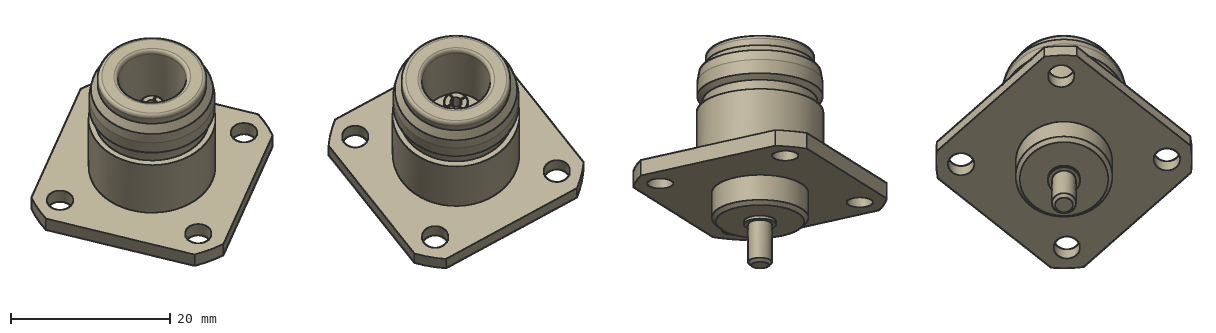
import cadquery as cq

flange_side = 25.4
flange_thickness = 2.1
flange_corner_radius = 16.05
hole_offset = 9.15
hole_radius = 1.65

collar_radius = 7.97
collar_height = 8.77
neck_radius = 7.2
neck_top = 10.3
band_radius = 7.9
band_bottom = 10.93
band_top = 12.8
taper_radius = 7.65
taper_top = 14.15
lip_radius = 6.83
lip_bottom = 15.15
barrel_height = 16.6
lip_fillet = 0.5

bore_mouth_radius = 4.3
bore_floor_radius = 4.05
bore_depth = 9.1

contact_radius = 1.55
contact_tip_depth = 5.12
contact_chamfer = 0.1
contact_hole_radius = 0.7
contact_slot_width = 0.17
contact_slot_depth = 2.85

boss_radius = 6.05
boss_depth = 3.87
boss_chamfer = 0.5
shoulder_radius = 2.02
shoulder_depth = 4.27
pin_radius = 1.5
pin_depth = 9.77
pin_chamfer = 0.4

barrel_top = flange_thickness + barrel_height


def rod(radius, bottom, top):
    """Cylinder on the Z axis between two heights."""
    return cq.Workplane("XY").workplane(offset=bottom).circle(radius).extrude(top - bottom)


def make_flange():
    """Square plate with arc-cut corners and four mounting holes."""
    plate = cq.Workplane("XY").rect(flange_side, flange_side).extrude(flange_thickness)
    plate = plate.intersect(rod(flange_corner_radius, 0, flange_thickness))
    holes = (
        cq.Workplane("XY")
        .rect(2 * hole_offset, 2 * hole_offset, forConstruction=True)
        .vertices()
        .circle(hole_radius)
        .extrude(flange_thickness)
    )
    return plate.cut(holes)


def make_barrel():
    """Revolved barrel with a rounded lip and a bore that narrows towards its floor."""
    bore_floor = barrel_height - bore_depth
    profile = (
        cq.Workplane("XZ", origin=(0, 0, flange_thickness))
        .moveTo(0, 0)
        .lineTo(collar_radius, 0)
        .lineTo(collar_radius, collar_height)
        .lineTo(neck_radius, collar_height)
        .lineTo(neck_radius, neck_top)
        .lineTo(band_radius, band_bottom)
        .lineTo(band_radius, band_top)
        .lineTo(taper_radius, taper_top)
        .lineTo(lip_radius, lip_bottom)
        .lineTo(lip_radius, barrel_height)
        .lineTo(bore_mouth_radius, barrel_height)
        .lineTo(bore_floor_radius, bore_floor)
        .lineTo(0, bore_floor)
        .close()
    )
    barrel = profile.revolve(360, (0, 0), (0, 1))
    return barrel.faces(">Z").edges().fillet(lip_fillet)


def make_contact():
    """Hollow contact split into four fingers by crossed slots."""
    tip = barrel_top - contact_tip_depth
    slot_floor = tip - contact_slot_depth
    contact = rod(contact_radius, barrel_top - bore_depth, tip)
    contact = contact.faces(">Z").chamfer(contact_chamfer)
    contact = contact.cut(rod(contact_hole_radius, slot_floor, tip))
    slot = (
        cq.Workplane("XY")
        .workplane(offset=slot_floor)
        .rect(2 * contact_radius, contact_slot_width)
        .extrude(contact_slot_depth)
    )
    for angle in (0, 90):
        contact = contact.cut(slot.rotate((0, 0, 0), (0, 0, 1), angle))
    return contact


def make_shank():
    """Boss, thin shoulder and solder pin, with chamfered lower ends."""
    boss = rod(boss_radius, -boss_depth, 0).faces("<Z").chamfer(boss_chamfer)
    shoulder = rod(shoulder_radius, -shoulder_depth, -boss_depth)
    pin = rod(pin_radius, -pin_depth, -shoulder_depth).faces("<Z").chamfer(pin_chamfer)
    return boss.union(shoulder).union(pin)


result = make_flange().union(make_barrel()).union(make_contact()).union(make_shank())